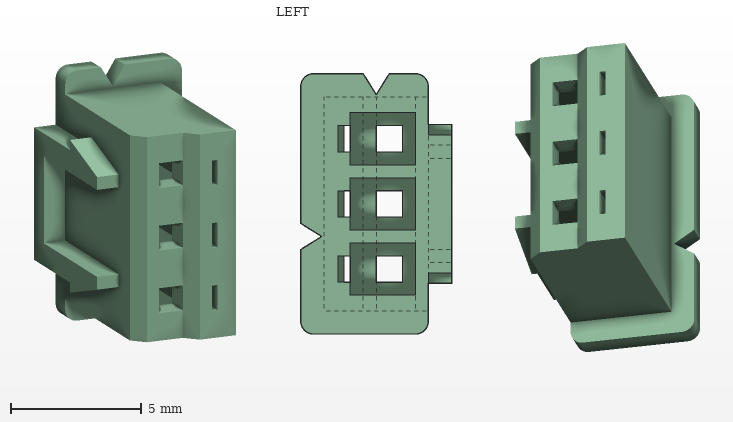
import cadquery as cq

LENGTH = 8.0
DEPTH = 5.8
HEIGHT = 10.0
MID_Z = HEIGHT / 2

CLIP_THICKNESS = 0.9
FLANGE_THICKNESS = 0.9
FLANGE_RADIUS = 0.5
FLANGE_OVERHANG = 0.9
BODY_TOP_Y = DEPTH - FLANGE_OVERHANG
BODY_HEIGHT = HEIGHT - 2 * FLANGE_OVERHANG

NOSE_CHAMFER = 0.5
NOSE_STEP_X = LENGTH - NOSE_CHAMFER
NOSE_STEP_Y = CLIP_THICKNESS + 2.0

NOTCH_HALF_WIDTH = 0.5
NOTCH_DEPTH = 0.8
NOTCH_Y = CLIP_THICKNESS + 2.0

CONTACT_COUNT = 3
PITCH = 2.5
CAVITY_Y = 1.4
CAVITY_WIDTH = 2.5
CAVITY_HEIGHT = 2.0
CAVITY_LENGTH = 6.5
WINDOW_Y = 1.9
WINDOW_SIZE = 1.0
SLOT_HEIGHT = 1.0
SLOT_ENTRY_WIDTH = 0.47
SLOT_EXIT_WIDTH = 0.23

ARM_INNER_Z = 1.74
ARM_OUTER_Z = 2.65
BARB_OUTER_Z = 3.05
BARB_TIP_Z = 2.25
BARB_START_X = 3.37
ARM_END_X = 5.93
BRIDGE_LENGTH = 0.9


def block(x, y, z_center, length, width, height):
    """Box starting at x and y, centred on z_center."""
    box = cq.Workplane("XY").box(length, width, height, centered=(False, False, True))
    return box.translate((x, y, z_center))


def make_flange():
    flange = block(0, CLIP_THICKNESS, MID_Z, FLANGE_THICKNESS, DEPTH - CLIP_THICKNESS, HEIGHT)
    flange = flange.edges("|X").fillet(FLANGE_RADIUS)
    top_notch = [
        (NOTCH_Y - NOTCH_HALF_WIDTH, HEIGHT),
        (NOTCH_Y, HEIGHT - NOTCH_DEPTH),
        (NOTCH_Y + NOTCH_HALF_WIDTH, HEIGHT),
    ]
    side_notch_z = MID_Z - PITCH / 2
    side_notch = [
        (DEPTH, side_notch_z - NOTCH_HALF_WIDTH),
        (DEPTH - NOTCH_DEPTH, side_notch_z),
        (DEPTH, side_notch_z + NOTCH_HALF_WIDTH),
    ]
    for outline in (top_notch, side_notch):
        flange = flange.cut(cq.Workplane("YZ").polyline(outline).close().extrude(FLANGE_THICKNESS))
    return flange


def make_body():
    outline = [
        (0, CLIP_THICKNESS),
        (NOSE_STEP_X - NOSE_CHAMFER, CLIP_THICKNESS),
        (NOSE_STEP_X, CLIP_THICKNESS + NOSE_CHAMFER),
        (NOSE_STEP_X, NOSE_STEP_Y),
        (LENGTH, NOSE_STEP_Y + NOSE_CHAMFER),
        (LENGTH, BODY_TOP_Y),
        (0, BODY_TOP_Y),
    ]
    body = cq.Workplane("XY").polyline(outline).close().extrude(BODY_HEIGHT)
    return body.translate((0, 0, FLANGE_OVERHANG))


def make_latch():
    upper_half = [
        (0, ARM_OUTER_Z),
        (BARB_START_X, ARM_OUTER_Z),
        (BARB_START_X, BARB_OUTER_Z),
        (ARM_END_X, BARB_TIP_Z),
        (ARM_END_X, ARM_INNER_Z),
        (BRIDGE_LENGTH, ARM_INNER_Z),
    ]
    lower_half = [(x, -z) for x, z in reversed(upper_half)]
    latch = cq.Workplane("XZ").polyline(upper_half + lower_half).close().extrude(-CLIP_THICKNESS)
    return latch.translate((0, 0, MID_Z))


def make_cavity(z):
    slot_y = CAVITY_Y + CAVITY_WIDTH
    cavity = block(0, CAVITY_Y, z, CAVITY_LENGTH, CAVITY_WIDTH, CAVITY_HEIGHT)
    window = block(0, WINDOW_Y, z, LENGTH, WINDOW_SIZE, WINDOW_SIZE)
    slot_entry = block(0, slot_y, z, CAVITY_LENGTH, SLOT_ENTRY_WIDTH, SLOT_HEIGHT)
    slot_exit = block(0, slot_y, z, LENGTH, SLOT_EXIT_WIDTH, SLOT_HEIGHT)
    return cavity.union(window).union(slot_entry).union(slot_exit)


result = make_flange().union(make_body()).union(make_latch())
for index in range(CONTACT_COUNT):
    contact_z = MID_Z + (index - (CONTACT_COUNT - 1) / 2) * PITCH
    result = result.cut(make_cavity(contact_z))